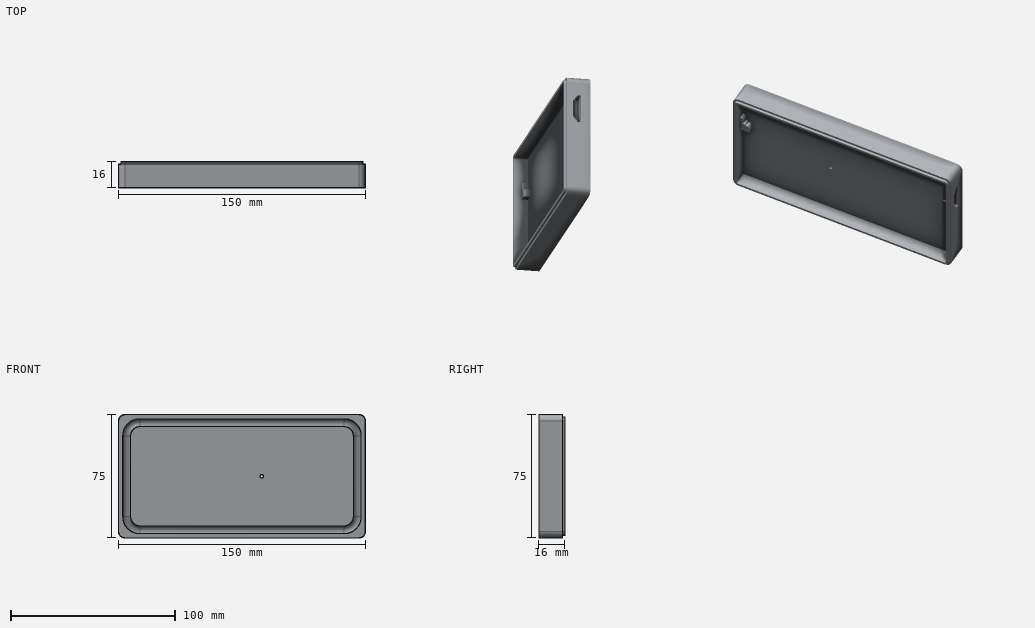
import cadquery as cq

length = 150.0
height = 75.0
depth = 16.0
corner_radius = 4.0

lip_depth = 1.5
lip_inset = 1.5

wall = 3.0
floor = 7.0

groove_diameter = 4.8
groove_axis_inset = 5.0
groove_axis_corner_radius = 8.0
groove_axis_depth = 0.4

hole_diameter = 2.0
hole_x = 12.0

port_z = 17.0
port_near_y = 6.0
port_shoulder_y = 8.0
port_far_y = 11.0
port_wide = 17.0
port_narrow = 9.0
port_reach = 10.0

pad_top_y = port_far_y
pad_bottom_z = 8.0
pad_step = 2.0
pad_bevel = 0.9
pad_step_tops = [12.9, 13.8, 18.2]


def rounded_block(size_x, size_z, radius, start_y, end_y):
    """Block with rounded corners, centred on the Y axis, from start_y to end_y."""
    return (
        cq.Workplane("XZ", origin=(0, start_y, 0))
        .rect(size_x, size_z)
        .extrude(start_y - end_y)
        .edges("|Y")
        .fillet(radius)
    )


def inset_block(inset, start_y, end_y):
    """Block whose outline runs a constant distance inside the body outline."""
    return rounded_block(length - 2 * inset, height - 2 * inset, corner_radius - inset, start_y, end_y)


def make_groove():
    """Round bar bent into a rounded rectangle that follows the body outline."""
    axis_block = rounded_block(
        length - 2 * groove_axis_inset,
        height - 2 * groove_axis_inset,
        groove_axis_corner_radius,
        groove_axis_depth,
        depth,
    )
    path = cq.Workplane(axis_block.faces("<Y").val().outerWire())
    start_z = groove_axis_inset - height / 2
    section = cq.Workplane("YZ", origin=(0, groove_axis_depth, start_z)).circle(groove_diameter / 2)
    return section.sweep(path)


def make_hole():
    """Pin hole through the floor."""
    return cq.Workplane("XZ").center(hole_x, 0).circle(hole_diameter / 2).extrude(-floor)


def make_port():
    """Connector opening: straight near the floor, tapering towards the open side."""
    half_wide = port_wide / 2
    half_narrow = port_narrow / 2
    return (
        cq.Workplane("YZ", origin=(-length / 2, 0, port_z))
        .moveTo(port_near_y, -half_wide)
        .lineTo(port_shoulder_y, -half_wide)
        .lineTo(port_far_y, -half_narrow)
        .lineTo(port_far_y, half_narrow)
        .lineTo(port_shoulder_y, half_wide)
        .lineTo(port_near_y, half_wide)
        .close()
        .extrude(port_reach)
    )


def make_pad():
    """Staircase pad rising from the cavity floor against the +X wall."""
    wall_x = length / 2 - wall
    pad = cq.Workplane()
    for index, top_z in enumerate(pad_step_tops):
        reach = pad_step * (len(pad_step_tops) - index)
        block = (
            cq.Workplane("XY")
            .box(reach, pad_top_y - floor, top_z - pad_bottom_z, centered=False)
            .edges("<X and >Z")
            .chamfer(pad_bevel)
        )
        pad = pad.add(block.translate((wall_x - reach, floor, pad_bottom_z)))
    return pad.combine()


body = inset_block(0, 0, depth - lip_depth)
lip = inset_block(lip_inset, 0, depth)
cavity = inset_block(wall, floor, depth)

result = (
    body.union(lip)
    .cut(cavity)
    .union(make_pad())
    .cut(make_groove())
    .cut(make_hole())
    .cut(make_port())
)